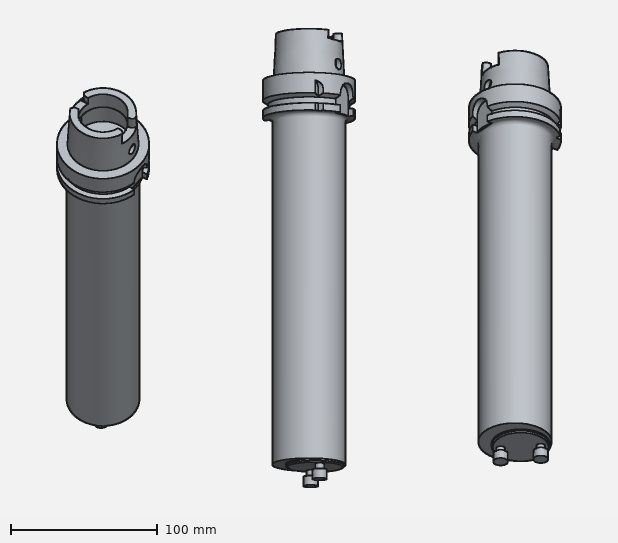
import cadquery as cq
import math

NOSE_TOP = 32.0
GROOVE_TOP = -14.0
GROOVE_BOTTOM = -21.0
GROOVE_FLOOR_TOP = -16.3
GROOVE_FLOOR_BOTTOM = -20.4
FLANGE_BOTTOM = -26.0
BODY_BOTTOM = -266.0
OVERALL_LENGTH = 310.9
SCREW_BOTTOM = NOSE_TOP - OVERALL_LENGTH

FLANGE_RADIUS = 62.94 / 2
GROOVE_RADIUS = 55.6 / 2
BODY_RADIUS = 50.0 / 2
NECK_FILLET = 3.0
GAUGE_RADIUS = 48.0 / 2
GAUGE_HEIGHT = 6.3
TAPER_SLOPE = 1 / 20

BORE_RADIUS = 34.05 / 2
BORE_LIP_DEPTH = 13.5
UNDERCUT_RADIUS = 40.08 / 2
CLAMP_ANGLE = math.radians(30)
BORE_FLOOR = 0.0
CROSS_HOLE_DIAMETER = 7.5
CROSS_HOLE_HEIGHT = 9.3

DRIVER_SLOT_WIDTH = 12.0
DRIVER_EDGE_RADIUS = 3.5
FLARE_START = 17.6
SHALLOW_SLOT_DEPTH = 6.3
SHALLOW_FLARE_DEPTH = 5.6
DEEP_SLOT_DEPTH = 9.6

KEY_SLOT_RADIUS = 8.0
NOTCH_RADIUS = 6.0
FLANGE_SLOT_TOP = -4.9
KEY_SLOT_FLOOR = 26.5
NOTCH_CORNER = 20.2

PAD_OFFSET = -5.0
PAD_RADIUS = 40.0 / 2
PAD_HEIGHT = 2.2
PAD_CHAMFER = 1.0
SCREW_SPACING = 19.5
SCREW_DIAMETER = 6.0
HEAD_DIAMETER = 10.0
HEAD_HEIGHT = 6.5


def taper_radius(height):
    return GAUGE_RADIUS - (height - GAUGE_HEIGHT) * TAPER_SLOPE


def turned_body():
    fillet_offset = NECK_FILLET * (1 - math.sqrt(0.5))
    profile = (
        cq.Workplane("XZ")
        .moveTo(0, NOSE_TOP)
        .lineTo(taper_radius(NOSE_TOP), NOSE_TOP)
        .lineTo(taper_radius(0), 0)
        .lineTo(FLANGE_RADIUS, 0)
        .lineTo(FLANGE_RADIUS, GROOVE_TOP)
        .lineTo(GROOVE_RADIUS, GROOVE_FLOOR_TOP)
        .lineTo(GROOVE_RADIUS, GROOVE_FLOOR_BOTTOM)
        .lineTo(FLANGE_RADIUS, GROOVE_BOTTOM)
        .lineTo(FLANGE_RADIUS, FLANGE_BOTTOM)
        .lineTo(BODY_RADIUS + NECK_FILLET, FLANGE_BOTTOM)
        .threePointArc(
            (BODY_RADIUS + fillet_offset, FLANGE_BOTTOM - fillet_offset),
            (BODY_RADIUS, FLANGE_BOTTOM - NECK_FILLET),
        )
        .lineTo(BODY_RADIUS, BODY_BOTTOM)
        .lineTo(0, BODY_BOTTOM)
        .close()
    )
    return profile.revolve(360, (0, 0, 0), (0, 1, 0))


def clamping_bore():
    lip_bottom = NOSE_TOP - BORE_LIP_DEPTH
    cone_bottom = lip_bottom - (UNDERCUT_RADIUS - BORE_RADIUS) * math.tan(CLAMP_ANGLE)
    profile = (
        cq.Workplane("XZ")
        .moveTo(0, NOSE_TOP)
        .lineTo(BORE_RADIUS, NOSE_TOP)
        .lineTo(BORE_RADIUS, lip_bottom)
        .lineTo(UNDERCUT_RADIUS, cone_bottom)
        .lineTo(UNDERCUT_RADIUS, BORE_FLOOR)
        .lineTo(0, BORE_FLOOR)
        .close()
    )
    return profile.revolve(360, (0, 0, 0), (0, 1, 0))


def cross_hole():
    return (
        cq.Workplane("YZ")
        .center(0, CROSS_HOLE_HEIGHT)
        .circle(CROSS_HOLE_DIAMETER / 2)
        .extrude(FLANGE_RADIUS, both=True)
    )


def driver_slot(side, depth, flare_depth):
    """Slot through the shank wall with rounded outer edges; side is -1 or +1 along X."""
    inner = DRIVER_SLOT_WIDTH / 2
    outer = inner + DRIVER_EDGE_RADIUS
    flare_end = FLARE_START + DRIVER_EDGE_RADIUS
    arc_along = FLARE_START + DRIVER_EDGE_RADIUS * math.sqrt(0.5)
    arc_across = outer - DRIVER_EDGE_RADIUS * math.sqrt(0.5)
    flare = (
        cq.Workplane("XY", origin=(0, 0, NOSE_TOP - flare_depth))
        .moveTo(side * FLARE_START, -inner)
        .threePointArc((side * arc_along, -arc_across), (side * flare_end, -outer))
        .lineTo(side * FLANGE_RADIUS, -outer)
        .lineTo(side * FLANGE_RADIUS, outer)
        .lineTo(side * flare_end, outer)
        .threePointArc((side * arc_along, arc_across), (side * FLARE_START, inner))
        .close()
        .extrude(flare_depth)
    )
    channel = (
        cq.Workplane("XY", origin=(side * FLANGE_RADIUS / 2, 0, NOSE_TOP - depth / 2))
        .box(FLANGE_RADIUS, DRIVER_SLOT_WIDTH, depth)
    )
    return channel.union(flare)


def flange_slot(side, floor, center_y, radius):
    """Slot cut along X to a flat floor, open at the flange underside; side is -1 or +1."""
    spring_line = FLANGE_SLOT_TOP - radius
    return (
        cq.Workplane("YZ", origin=(side * floor, 0, 0))
        .moveTo(center_y - radius, FLANGE_BOTTOM)
        .lineTo(center_y - radius, spring_line)
        .threePointArc((center_y, FLANGE_SLOT_TOP), (center_y + radius, spring_line))
        .lineTo(center_y + radius, FLANGE_BOTTOM)
        .close()
        .extrude(side * (FLANGE_RADIUS - floor))
    )


def pad():
    return (
        cq.Workplane("XY", origin=(PAD_OFFSET, 0, BODY_BOTTOM))
        .circle(PAD_RADIUS)
        .extrude(-PAD_HEIGHT)
        .faces("<Z")
        .chamfer(PAD_CHAMFER)
    )


def screws():
    """Two cap screws on a diagonal through the pad centre."""
    half = SCREW_SPACING / 2
    centers = [(PAD_OFFSET - half, half), (PAD_OFFSET + half, -half)]
    plane = cq.Workplane("XY", origin=(0, 0, SCREW_BOTTOM)).pushPoints(centers)
    heads = plane.circle(HEAD_DIAMETER / 2).extrude(HEAD_HEIGHT)
    shanks = plane.circle(SCREW_DIAMETER / 2).extrude(BODY_BOTTOM - SCREW_BOTTOM)
    return heads.union(shanks)


result = turned_body().cut(clamping_bore()).cut(cross_hole())
result = result.cut(driver_slot(-1, SHALLOW_SLOT_DEPTH, SHALLOW_FLARE_DEPTH))
result = result.cut(driver_slot(1, DEEP_SLOT_DEPTH, DEEP_SLOT_DEPTH))
for key_side in (-1, 1):
    result = result.cut(flange_slot(key_side, KEY_SLOT_FLOOR, 0, KEY_SLOT_RADIUS))
result = result.cut(flange_slot(-1, NOTCH_CORNER, NOTCH_CORNER + NOTCH_RADIUS, NOTCH_RADIUS))
result = result.union(pad()).union(screws())